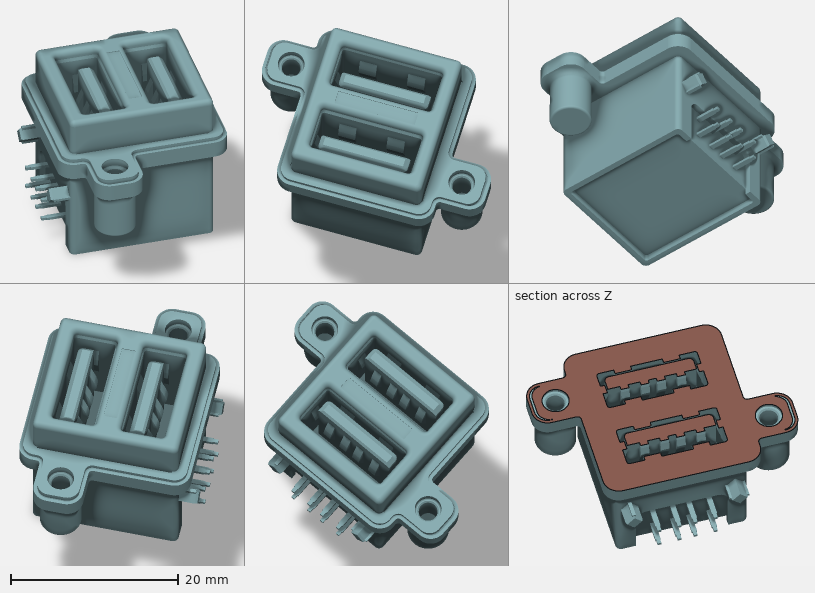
import cadquery as cq
import math

BODY_X, BODY_Y, BODY_Z = 16.25, 17.85, 19.2
BODY_EDGE_RADIUS = 0.67
BODY_TOP_RADIUS = 0.65
FRONT_Y = -BODY_Y / 2

FLANGE_X, FLANGE_Y = 19.58, 20.98
FLANGE_LENGTH = 30.5
FLANGE_BOTTOM, FLANGE_TOP = 12.23, 14.27
FLANGE_CORNER_RADIUS = 1.98
EAR_JOINT_RADIUS = 0.45
EAR_WIDTH = 6.05
GASKET_TOP = 14.73
GASKET_INSET = 0.45
GASKET_TIP_INSET = 0.65
GROOVE_TIP_INSET = 0.4
GROOVE_DEPTH = 0.15
SIDE_GAP = 0.18

SCREW_X, SCREW_Y = 12.0, 4.5
SCREW_PLACES = [(-SCREW_X, SCREW_Y), (SCREW_X, -SCREW_Y)]
BOSS_DIAMETER = 5.0
BOSS_BOTTOM = 6.15
BOSS_FLARE = 0.6
BOSS_END_RADIUS = 0.27
SCREW_DIAMETER = 2.25
SCREW_BOTTOM = 9.15
SCREW_CHAMFER = 0.18
DRILL_POINT_ANGLE = 118.0
COUNTERBORE_DIAMETER = 3.2
COUNTERBORE_DEPTH = 0.98

OPENING_X, OPENING_Y = 12.78, 5.4
OPENING_PITCH = 8.48
OPENING_RADIUS = 0.5
OPENING_LIP = 0.67
OPENING_BOTTOM = 18.25
SHELL_X, SHELL_Y = 12.45, 5.12
SHELL_PITCH = 8.6
SHELL_OFFSET = 0.05
SHELL_RADIUS = 0.3
SHELL_TOP = 17.87
PORT_FLOOR = 7.32

TONGUE_X, TONGUE_Y = 11.1, 1.83
TONGUE_TOP = 17.45
TONGUE_BEVEL = 0.55
TONGUE_LOWER_BEVEL = 0.27
TONGUE_CORNER_RADIUS = 0.6
TONGUE_RISE = 0.95
CONTACT_WIDTH = 1.07
CONTACT_REACH = 0.88
CONTACT_TOP = 15.25
CONTACT_LENGTH = 4.88
SPRING_WIDTH = 2.15
SIDE_SPRING_WIDTH = 1.22
SIDE_SPRING_RISE = 0.15
SPRING_X = 3.02
SPRING_REACH = 0.65
SPRING_TOP = 15.85
SPRING_LENGTH = 4.27
BEND_REACH, BEND_DROP = 0.7, 0.3

LABEL_X, LABEL_Y = 10.0, 1.65
LABEL_DEPTH = 0.1

BAY_WIDTH, BAY_HEIGHT = 11.45, 6.53
BAY_RADIUS = 1.35
BAY_DEPTH = 0.73
UNDERSIDE_DEPTH = 0.9
UNDERSIDE_RADIUS = 0.3

PIN_X = [-3.5, -1.0, 1.0, 3.5]
PIN_ROWS = [(5.35, 0.4), (2.7, 0.35)]
PIN_WIDTH, PIN_TIP_WIDTH = 0.65, 0.45
PIN_TIP_LENGTH = 0.6
PIN_END_Y = -11.32

PEG_X, PEG_Z = 6.55, 8.05
PEG_END_Y = -11.22
PEG_SIDE = 1.5
PEG_TIP_LENGTH, PEG_TIP_INSET = 0.3, 0.1
RIBS = [(-1, 0.45, 2.32), (1, 2.45, 0.3)]

EMBED = 0.3
MARGIN = 0.3


def box(x_range, y_range, z_range):
    """Box between two coordinates along each axis."""
    lows, highs = zip(x_range, y_range, z_range)
    sizes = [high - low for low, high in zip(lows, highs)]
    return cq.Workplane("XY").box(*sizes, centered=False).translate(lows)


def rounded_block(x, y, bottom, top, radius):
    """Centred block with rounded vertical edges."""
    block = cq.Workplane("XY").workplane(offset=bottom).rect(x, y).extrude(top - bottom)
    return block.edges("|Z").fillet(radius)


def flange_plate(bottom, top, inset, tip_inset):
    """Flange outline, drawn in by an inset on the sides and another at the ear tips."""
    corner = FLANGE_CORNER_RADIUS - inset
    half_x = FLANGE_X / 2 - inset
    half_ear = EAR_WIDTH / 2 - inset
    tip_x = FLANGE_LENGTH / 2 - tip_inset
    plate = rounded_block(2 * half_x, FLANGE_Y - 2 * inset, bottom, top, corner)
    ear = box((0, tip_x), (-SCREW_Y - half_ear, -SCREW_Y + half_ear), (bottom, top))
    ear = ear.edges("|Z and >X").fillet(corner)
    plate = plate.union(ear).union(ear.rotate((0, 0, 0), (0, 0, 1), 180))
    for side in (-1, 1):
        for edge in (-half_ear, half_ear):
            joint = (side * half_x, -side * SCREW_Y + edge, (bottom + top) / 2)
            plate = plate.edges(cq.NearestToPointSelector(joint)).fillet(EAR_JOINT_RADIUS + inset)
    return plate


def screw_boss():
    """Round boss that flares out where it meets the underside of the flange."""
    radius = BOSS_DIAMETER / 2
    flare_start = FLANGE_BOTTOM - BOSS_FLARE
    arc_mid = BOSS_FLARE * (1 - math.sqrt(0.5))
    return (
        cq.Workplane("XZ")
        .moveTo(0, BOSS_BOTTOM)
        .lineTo(radius - BOSS_END_RADIUS, BOSS_BOTTOM)
        .radiusArc((radius, BOSS_BOTTOM + BOSS_END_RADIUS), -BOSS_END_RADIUS)
        .lineTo(radius, flare_start)
        .threePointArc((radius + arc_mid, FLANGE_BOTTOM - arc_mid), (radius + BOSS_FLARE, FLANGE_BOTTOM))
        .lineTo(radius + BOSS_FLARE, FLANGE_BOTTOM + EMBED)
        .lineTo(0, FLANGE_BOTTOM + EMBED)
        .close()
        .revolve(360, (0, 0, 0), (0, 1, 0))
    )


def screw_hole():
    """Counterbored blind hole with a chamfered mouth and a drill point."""
    radius = SCREW_DIAMETER / 2
    bore = COUNTERBORE_DIAMETER / 2
    ledge = GASKET_TOP - COUNTERBORE_DEPTH
    point = SCREW_BOTTOM - radius / math.tan(math.radians(DRILL_POINT_ANGLE / 2))
    profile = [
        (0, point), (radius, SCREW_BOTTOM), (radius, ledge - SCREW_CHAMFER),
        (radius + SCREW_CHAMFER, ledge), (bore, ledge), (bore, GASKET_TOP), (0, GASKET_TOP),
    ]
    return cq.Workplane("XZ").polyline(profile).close().revolve(360, (0, 0, 0), (0, 1, 0))


def shell_centre(side):
    """Y of the middle of one receptacle shell."""
    return SHELL_OFFSET + side * SHELL_PITCH / 2


def cut_receptacle(part, side):
    """Open one receptacle: rounded mouth, tapered throat and shell cavity."""
    mouth_y = side * OPENING_PITCH / 2
    shell_y = shell_centre(side)
    opening = rounded_block(OPENING_X, OPENING_Y, OPENING_BOTTOM, BODY_Z, OPENING_RADIUS)
    part = part.cut(opening.translate((0, mouth_y, 0)))
    rim = cq.selectors.BoxSelector(
        (-OPENING_X / 2 - MARGIN, mouth_y - OPENING_Y / 2 - MARGIN, BODY_Z - MARGIN),
        (OPENING_X / 2 + MARGIN, mouth_y + OPENING_Y / 2 + MARGIN, BODY_Z + MARGIN),
    )
    part = part.edges(rim).fillet(OPENING_LIP)
    shell_outline = cq.Sketch().rect(SHELL_X, SHELL_Y).vertices().fillet(SHELL_RADIUS)
    mouth_outline = cq.Sketch().rect(OPENING_X, OPENING_Y).vertices().fillet(OPENING_RADIUS)
    throat = (
        cq.Workplane("XY")
        .placeSketch(
            shell_outline.moved(cq.Location(cq.Vector(0, shell_y, SHELL_TOP))),
            mouth_outline.moved(cq.Location(cq.Vector(0, mouth_y, OPENING_BOTTOM))),
        )
        .loft()
    )
    cavity = rounded_block(SHELL_X, SHELL_Y, PORT_FLOOR, SHELL_TOP, SHELL_RADIUS)
    return part.cut(throat).cut(cavity.translate((0, shell_y, 0)))


def tongue(side):
    """Contact tongue, bevelled along its top on three sides, with four sprung contacts."""
    middle_y = shell_centre(side) + TONGUE_RISE
    half_x, half_y = TONGUE_X / 2, TONGUE_Y / 2
    blade = box((-half_x, half_x), (-half_y, half_y), (PORT_FLOOR - EMBED, TONGUE_TOP))
    blade = blade.edges("|Z and >Y").fillet(TONGUE_CORNER_RADIUS)
    blade = blade.edges("<Y and >Z").chamfer(TONGUE_LOWER_BEVEL)
    blade = blade.faces(">Z").edges("not(<Y)").chamfer(TONGUE_BEVEL)
    for x in PIN_X:
        contact = bump(CONTACT_WIDTH, CONTACT_REACH, CONTACT_TOP, CONTACT_LENGTH)
        blade = blade.union(contact.rotate((0, 0, 0), (0, 0, 1), 180).translate((x, -half_y, 0)))
    return blade.translate((0, middle_y, 0))


def bump(width, reach, top, length):
    """Bent leaf rising towards +Y from the plane Y = 0, highest at mid-length."""
    profile = [
        (-EMBED, top),
        (0, top),
        (BEND_REACH * reach, top - BEND_DROP * length),
        (reach, top - length / 2),
        (0, top - length),
        (-EMBED, top - length),
    ]
    return cq.Workplane("YZ").polyline(profile).close().extrude(width / 2, both=True)


def shell_springs(side):
    """Leaf springs on the four walls of one receptacle shell."""
    leaf = bump(SPRING_WIDTH, SPRING_REACH, SPRING_TOP, SPRING_LENGTH)
    side_leaf = bump(SIDE_SPRING_WIDTH, SPRING_REACH, SPRING_TOP, SPRING_LENGTH)
    side_leaf = side_leaf.rotate((0, 0, 0), (0, 0, 1), 90).translate((SHELL_X / 2, SIDE_SPRING_RISE, 0))
    springs = side_leaf.union(side_leaf.mirror("YZ"))
    for x in (-SPRING_X, SPRING_X):
        lower = leaf.translate((x, -SHELL_Y / 2, 0))
        springs = springs.union(lower).union(lower.mirror("XZ"))
    return springs.translate((0, shell_centre(side), 0))


def pin_bay():
    """Recess in the front wall, rounded at its two upper corners."""
    bay = box((-BAY_WIDTH / 2, BAY_WIDTH / 2), (FRONT_Y, FRONT_Y + BAY_DEPTH), (0, BAY_HEIGHT))
    return bay.edges("|Y and >Z").fillet(BAY_RADIUS)


def solder_pin(x, z, thickness):
    """Flat pin with a narrower tip, pointing towards -Y."""
    root = FRONT_Y + BAY_DEPTH + EMBED
    shoulder = PIN_END_Y + PIN_TIP_LENGTH
    z_range = (z - thickness / 2, z + thickness / 2)
    shank = box((x - PIN_WIDTH / 2, x + PIN_WIDTH / 2), (shoulder, root), z_range)
    return shank.union(box((x - PIN_TIP_WIDTH / 2, x + PIN_TIP_WIDTH / 2), (PIN_END_Y, root), z_range))


def locating_peg(x, rib_width, rib_height):
    """Square peg turned onto its corner, with one crush rib across it."""
    length = FRONT_Y + BODY_EDGE_RADIUS - PEG_END_Y
    start = cq.Workplane("XZ", origin=(x, FRONT_Y + BODY_EDGE_RADIUS, PEG_Z))
    peg = start.transformed(rotate=(0, 0, 45)).rect(PEG_SIDE, PEG_SIDE).extrude(length)
    peg = peg.faces("<Y").chamfer(PEG_TIP_LENGTH, PEG_TIP_INSET)
    rib = start.rect(rib_width, rib_height).extrude(length - PEG_TIP_LENGTH)
    return peg.union(rib)


housing = rounded_block(BODY_X, BODY_Y, 0, BODY_Z, BODY_EDGE_RADIUS)
housing = housing.faces(">Z").edges().fillet(BODY_TOP_RADIUS)
for port in (-1, 1):
    housing = cut_receptacle(housing, port)
    housing = housing.union(tongue(port)).union(shell_springs(port))
housing = housing.cut(
    box((-LABEL_X / 2, LABEL_X / 2), (-LABEL_Y / 2, LABEL_Y / 2), (BODY_Z - LABEL_DEPTH, BODY_Z))
)

housing = housing.cut(
    rounded_block(BODY_X - 2 * BAY_DEPTH, BODY_Y - 2 * BAY_DEPTH, 0, UNDERSIDE_DEPTH, UNDERSIDE_RADIUS)
)
housing = housing.cut(pin_bay())
for pin_z, pin_thickness in PIN_ROWS:
    for pin_x in PIN_X:
        housing = housing.union(solder_pin(pin_x, pin_z, pin_thickness))
for peg_side, peg_rib_width, peg_rib_height in RIBS:
    housing = housing.union(locating_peg(peg_side * PEG_X, peg_rib_width, peg_rib_height))

flange = flange_plate(FLANGE_BOTTOM, FLANGE_TOP, 0, 0)
flange = flange.cut(flange_plate(FLANGE_TOP - GROOVE_DEPTH, FLANGE_TOP, GASKET_INSET, GROOVE_TIP_INSET))
flange = flange.union(
    flange_plate(FLANGE_TOP - GROOVE_DEPTH, GASKET_TOP, GASKET_INSET, GASKET_TIP_INSET)
)
gap_half_y = BODY_Y / 2 - BODY_EDGE_RADIUS
gap_half_x = BODY_X / 2 + SIDE_GAP
flange = flange.cut(
    box((-gap_half_x, gap_half_x), (-gap_half_y, gap_half_y), (FLANGE_TOP, GASKET_TOP))
)

boss_limit = flange_plate(BOSS_BOTTOM, FLANGE_BOTTOM + EMBED, 0, 0)
for screw_x, screw_y in SCREW_PLACES:
    flange = flange.union(screw_boss().translate((screw_x, screw_y, 0)).intersect(boss_limit))
    flange = flange.cut(screw_hole().translate((screw_x, screw_y, 0)))

core_x, core_y = BODY_X / 2 - EMBED, BODY_Y / 2 - EMBED
flange = flange.cut(box((-core_x, core_x), (-core_y, core_y), (0, BODY_Z)))
result = housing.union(flange)